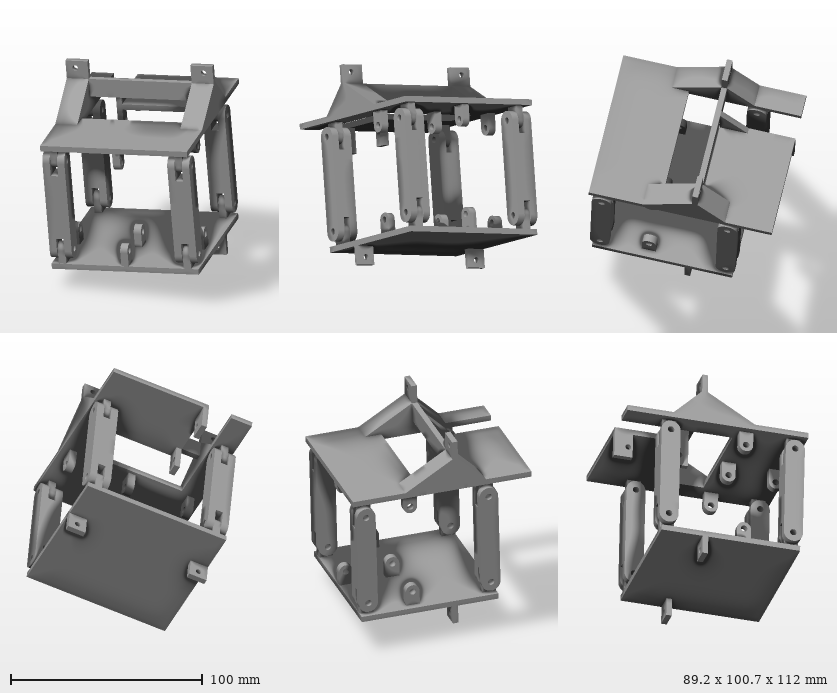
import cadquery as cq
import math


TILT_ANGLE = 4.58
YAW_ANGLE = 1.96

PLATE_WIDTH = 80.0
PLATE_THICKNESS = 3.0
BASE_DEPTH = 75.0
PLATE_GAP = 65.0
TOP_UNDERSIDE = PLATE_GAP
TOP_FACE = TOP_UNDERSIDE + PLATE_THICKNESS

LUG_THICKNESS = 4.0
LUG_WIDTH = 7.5
HINGE_HEIGHT = 7.5
HINGE_HOLE = 3.5
LINK_WIDTH = 10.3
LINK_THICKNESS = 12.0
LINK_SLOT_DEPTH = 7.2
HINGE_SPACING = PLATE_GAP - 2 * HINGE_HEIGHT
ROW_SPACING = 67.3
MIDDLE_ROW_OFFSET = 25.5
FRONT_HINGE_Y = 3.9
REAR_HINGE_Y = FRONT_HINGE_Y + ROW_SPACING
MIDDLE_HINGE_Y = FRONT_HINGE_Y + MIDDLE_ROW_OFFSET
LEFT_HINGE_X = LINK_THICKNESS / 2
RIGHT_HINGE_X = PLATE_WIDTH - LINK_THICKNESS / 2
MIDDLE_HINGE_X = PLATE_WIDTH / 2
CORNER_HINGES = [(x, y) for x in (LEFT_HINGE_X, RIGHT_HINGE_X) for y in (FRONT_HINGE_Y, REAR_HINGE_Y)]
SPARE_HINGES = [(x, MIDDLE_HINGE_Y) for x in (LEFT_HINGE_X, MIDDLE_HINGE_X, RIGHT_HINGE_X)]
SPARE_HINGES.append((MIDDLE_HINGE_X, FRONT_HINGE_Y))

EAR_HEIGHT = 10.0
MOUNTING_HOLE = 3.0
EAR_HOLE_TO_END = 5.0
EAR_HOLE_TO_TIP = 4.0
BASE_EAR_WIDTH = 10.0
BASE_EAR_Y = 49.7

FRONT_DECK_DEPTH = 29.0
REAR_DECK_DEPTH = 25.0
RIDGE_RISE = 15.0
FRONT_SLOPE = 30.0
WALL_WIDTH = 12.0
BEAM_HEIGHT = 10.0
TOP_FRONT_Y = -3.0
RIDGE_FRONT_Y = TOP_FRONT_Y + FRONT_DECK_DEPTH + RIDGE_RISE / math.tan(math.radians(FRONT_SLOPE))
RIDGE_REAR_Y = RIDGE_FRONT_Y + PLATE_THICKNESS
REAR_RAMP_FOOT_Y = RIDGE_REAR_Y + RIDGE_RISE
TOP_REAR_Y = REAR_RAMP_FOOT_Y + REAR_DECK_DEPTH
RIDGE_TOP = TOP_FACE + RIDGE_RISE
DECK_OVERHANG = 8.8

BRACKET_X = 25.0
BRACKET_THICKNESS = 3.0
BRACKET_DROP = 13.5
FRONT_TAB_DEPTH = 7.0
REAR_TAB_DEPTH = 10.0
FRONT_TAB_HOLE = 4.7
REAR_TAB_HOLE = 7.5
TAB_HOLE_TO_TIP = 6.0


def block(x0, x1, y0, y1, z0, z1):
    return cq.Workplane("XY").box(x1 - x0, y1 - y0, z1 - z0, centered=False).translate((x0, y0, z0))


def cylinder_along_x(x, y, z, diameter, length):
    return cq.Workplane("YZ").center(y, z).circle(diameter / 2).extrude(length).translate((x, 0, 0))


def cylinder_along_y(x, y, z, diameter, length):
    return cq.Workplane("XZ").center(x, z).circle(diameter / 2).extrude(-length).translate((0, y, 0))


def hinge_lug(x, y, plate_face, direction):
    """Round-ended lug standing on a plate face; direction is +1 upward, -1 downward."""
    x0 = x - LUG_THICKNESS / 2
    axis_z = plate_face + direction * HINGE_HEIGHT
    low, high = sorted((plate_face, axis_z))
    lug = block(x0, x0 + LUG_THICKNESS, y - LUG_WIDTH / 2, y + LUG_WIDTH / 2, low, high)
    lug = lug.union(cylinder_along_x(x0, y, axis_z, LUG_WIDTH, LUG_THICKNESS))
    return lug.cut(cylinder_along_x(x0, y, axis_z, HINGE_HOLE, LUG_THICKNESS))


def ear(x0, x1, y, root_z, direction, hole_x):
    """Upright mounting ear with a hole through its thickness."""
    tip_z = root_z + direction * EAR_HEIGHT
    low, high = sorted((root_z, tip_z))
    hole_z = tip_z - direction * EAR_HOLE_TO_TIP
    plate = block(x0, x1, y, y + PLATE_THICKNESS, low, high)
    return plate.cut(cylinder_along_y(hole_x, y, hole_z, MOUNTING_HOLE, PLATE_THICKNESS))


def base_plate():
    body = block(0, PLATE_WIDTH, 0, BASE_DEPTH, -PLATE_THICKNESS, 0)
    for x, y in CORNER_HINGES + SPARE_HINGES:
        body = body.union(hinge_lug(x, y, 0, 1))
    left_ear = ear(0, BASE_EAR_WIDTH, BASE_EAR_Y, -PLATE_THICKNESS, -1, EAR_HOLE_TO_END)
    right_ear = ear(PLATE_WIDTH - BASE_EAR_WIDTH, PLATE_WIDTH, BASE_EAR_Y, -PLATE_THICKNESS, -1,
                    PLATE_WIDTH - EAR_HOLE_TO_END)
    return body.union(left_ear).union(right_ear)


def side_wall(x):
    """Full-depth strip of the top plate with the ramps that climb to the ridge."""
    profile = [
        (TOP_FRONT_Y, TOP_UNDERSIDE),
        (TOP_REAR_Y, TOP_UNDERSIDE),
        (TOP_REAR_Y, TOP_FACE),
        (REAR_RAMP_FOOT_Y, TOP_FACE),
        (RIDGE_REAR_Y, RIDGE_TOP),
        (RIDGE_FRONT_Y, RIDGE_TOP),
        (TOP_FRONT_Y + FRONT_DECK_DEPTH, TOP_FACE),
        (TOP_FRONT_Y, TOP_FACE),
    ]
    return cq.Workplane("YZ").polyline(profile).close().extrude(WALL_WIDTH).translate((x, 0, 0))


def servo_bracket():
    """Gusset between ridge and rear deck, with two drilled tabs hanging below it."""
    x1 = BRACKET_X + BRACKET_THICKNESS
    gusset_profile = [
        (RIDGE_REAR_Y, TOP_FACE),
        (REAR_RAMP_FOOT_Y, TOP_FACE),
        (RIDGE_REAR_Y, RIDGE_TOP),
    ]
    bracket = cq.Workplane("YZ").polyline(gusset_profile).close().extrude(BRACKET_THICKNESS)
    bracket = bracket.translate((BRACKET_X, 0, 0))
    tip_z = TOP_UNDERSIDE - BRACKET_DROP
    tabs = [
        (RIDGE_REAR_Y, RIDGE_REAR_Y + FRONT_TAB_DEPTH, RIDGE_REAR_Y + FRONT_TAB_HOLE),
        (TOP_REAR_Y - REAR_TAB_DEPTH, TOP_REAR_Y, TOP_REAR_Y - REAR_TAB_HOLE),
    ]
    for y0, y1, hole_y in tabs:
        tab = block(BRACKET_X, x1, y0, y1, tip_z, TOP_FACE)
        hole = cylinder_along_x(BRACKET_X, hole_y, tip_z + TAB_HOLE_TO_TIP, MOUNTING_HOLE, BRACKET_THICKNESS)
        bracket = bracket.union(tab.cut(hole))
    return bracket


def top_plate():
    deck_rear_y = TOP_FRONT_Y + FRONT_DECK_DEPTH + DECK_OVERHANG
    right_wall_x = PLATE_WIDTH - WALL_WIDTH
    body = block(0, PLATE_WIDTH, TOP_FRONT_Y, deck_rear_y, TOP_UNDERSIDE, TOP_FACE)
    body = body.union(block(BRACKET_X, PLATE_WIDTH, RIDGE_REAR_Y, TOP_REAR_Y, TOP_UNDERSIDE, TOP_FACE))
    body = body.union(side_wall(0)).union(side_wall(right_wall_x))
    ridge_beam = block(0, PLATE_WIDTH, RIDGE_FRONT_Y, RIDGE_REAR_Y, RIDGE_TOP - BEAM_HEIGHT, RIDGE_TOP)
    body = body.union(ridge_beam).union(servo_bracket())
    for x, y in CORNER_HINGES + SPARE_HINGES:
        body = body.union(hinge_lug(x, y, TOP_UNDERSIDE, -1))
    left_ear = ear(0, WALL_WIDTH, RIDGE_FRONT_Y, RIDGE_TOP, 1, EAR_HOLE_TO_END)
    right_ear = ear(right_wall_x, PLATE_WIDTH, RIDGE_FRONT_Y, RIDGE_TOP, 1, PLATE_WIDTH - EAR_HOLE_TO_END)
    return body.union(left_ear).union(right_ear)


def link(x, y):
    """Upright bar with rounded ends, each slotted and drilled to straddle a hinge lug."""
    x0 = x - LINK_THICKNESS / 2
    lower_z = HINGE_HEIGHT
    upper_z = lower_z + HINGE_SPACING
    half_width = LINK_WIDTH / 2
    slot_x = (x - LUG_THICKNESS / 2, x + LUG_THICKNESS / 2)
    slot_y = (y - half_width, y + half_width)
    body = block(x0, x0 + LINK_THICKNESS, *slot_y, lower_z, upper_z)
    for axis_z in (lower_z, upper_z):
        body = body.union(cylinder_along_x(x0, y, axis_z, LINK_WIDTH, LINK_THICKNESS))
    for axis_z, inward in ((lower_z, 1), (upper_z, -1)):
        low, high = sorted((axis_z - inward * half_width, axis_z + inward * LINK_SLOT_DEPTH))
        body = body.cut(block(*slot_x, *slot_y, low, high))
        body = body.cut(cylinder_along_x(x0, y, axis_z, HINGE_HOLE, LINK_THICKNESS))
    return body


def tilted(body):
    """Raise the right-hand end, then turn the body about the vertical."""
    origin = (0, 0, 0)
    return body.rotate(origin, (0, 1, 0), -TILT_ANGLE).rotate(origin, (0, 0, 1), YAW_ANGLE)


links = [tilted(link(x, y)).val() for x, y in CORNER_HINGES]
base = tilted(base_plate()).val()
top = tilted(top_plate()).val()
result = cq.Compound.makeCompound([base, top, *links])